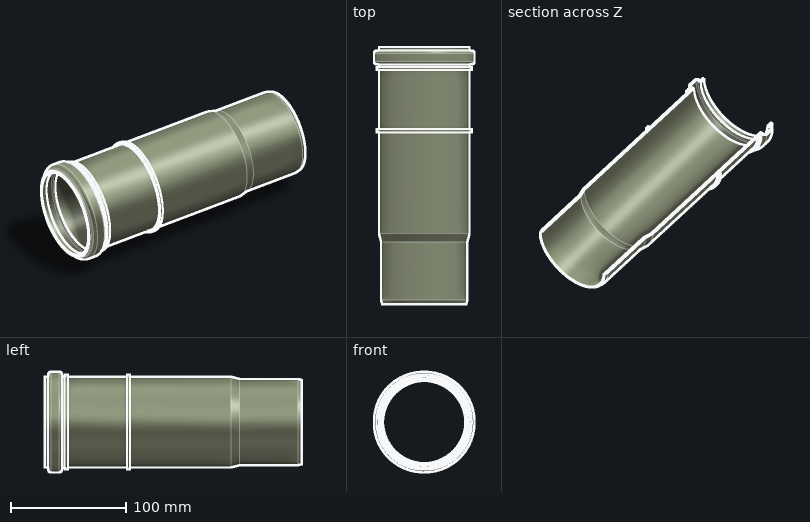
import cadquery as cq

total_length = 223.0

spigot_diameter = 75.0
bore_diameter = 71.2
spigot_tip_diameter = 73.1
spigot_chamfer_length = 3.6
spigot_length = 54.0

taper_length = 7.5
socket_diameter = 78.8
socket_bore_diameter = 75.4

bead_diameter = 87.5
groove_diameter = 84.5
bead_wall = (bead_diameter - groove_diameter) / 2
bead_width = 12.0
bead_center_y = total_length - 9.2
bead_edge_radius = 2.5
bead_root_radius = 1.0
groove_width = bead_width - 2 * bead_wall
groove_edge_radius = bead_edge_radius - bead_wall

ring_diameter = 82.5
ring_width = 2.7
ring_mouth_distances = (17.5, 71.3)

taper_end_y = spigot_length + taper_length


def revolve_about_y(profile):
    """Turn a closed half profile in the XY plane a full circle about Y."""
    return profile.close().revolve(360, (0, 0, 0), (0, 1, 0))


def cylinder_along_y(diameter, start_y, length):
    """Solid cylinder on the Y axis, growing toward +Y from start_y."""
    base = cq.Workplane("XZ", origin=(0, start_y, 0))
    return base.circle(diameter / 2).extrude(-length)


def make_pipe_outside():
    """Solid envelope of the chamfered spigot, the taper and the socket."""
    profile = (
        cq.Workplane("XY")
        .lineTo(spigot_tip_diameter / 2, 0)
        .lineTo(spigot_diameter / 2, spigot_chamfer_length)
        .lineTo(spigot_diameter / 2, spigot_length)
        .lineTo(socket_diameter / 2, taper_end_y)
        .lineTo(socket_diameter / 2, total_length)
        .lineTo(0, total_length)
    )
    return revolve_about_y(profile)


def make_pipe_bore():
    """Through bore that widens along the taper into the socket bore."""
    profile = (
        cq.Workplane("XY")
        .lineTo(bore_diameter / 2, 0)
        .lineTo(bore_diameter / 2, spigot_length)
        .lineTo(socket_bore_diameter / 2, taper_end_y)
        .lineTo(socket_bore_diameter / 2, total_length)
        .lineTo(0, total_length)
    )
    return revolve_about_y(profile)


def make_bead():
    """Solid bead with rounded outer edges and concave roots on the socket."""
    start_y = bead_center_y - bead_width / 2
    end_y = bead_center_y + bead_width / 2
    socket_radius = socket_diameter / 2
    outer_radius = bead_diameter / 2
    root_top = socket_radius + bead_root_radius
    edge_start = outer_radius - bead_edge_radius
    profile = (
        cq.Workplane("XY")
        .moveTo(0, start_y - bead_root_radius)
        .lineTo(socket_radius, start_y - bead_root_radius)
        .radiusArc((root_top, start_y), bead_root_radius)
        .lineTo(edge_start, start_y)
        .radiusArc((outer_radius, start_y + bead_edge_radius), -bead_edge_radius)
        .lineTo(outer_radius, end_y - bead_edge_radius)
        .radiusArc((edge_start, end_y), -bead_edge_radius)
        .lineTo(root_top, end_y)
        .radiusArc((socket_radius, end_y + bead_root_radius), bead_root_radius)
        .lineTo(0, end_y + bead_root_radius)
    )
    return revolve_about_y(profile)


def make_seal_groove():
    """Cutter for the rounded seal groove inside the bead."""
    start_y = bead_center_y - groove_width / 2
    groove = cylinder_along_y(groove_diameter, start_y, groove_width)
    return groove.edges().fillet(groove_edge_radius)


def make_ring(mouth_distance):
    """Raised ring whose near side is mouth_distance from the socket mouth."""
    start_y = total_length - mouth_distance - ring_width
    return cylinder_along_y(ring_diameter, start_y, ring_width)


result = make_pipe_outside().union(make_bead())
for distance in ring_mouth_distances:
    result = result.union(make_ring(distance))
result = result.cut(make_pipe_bore()).cut(make_seal_groove())